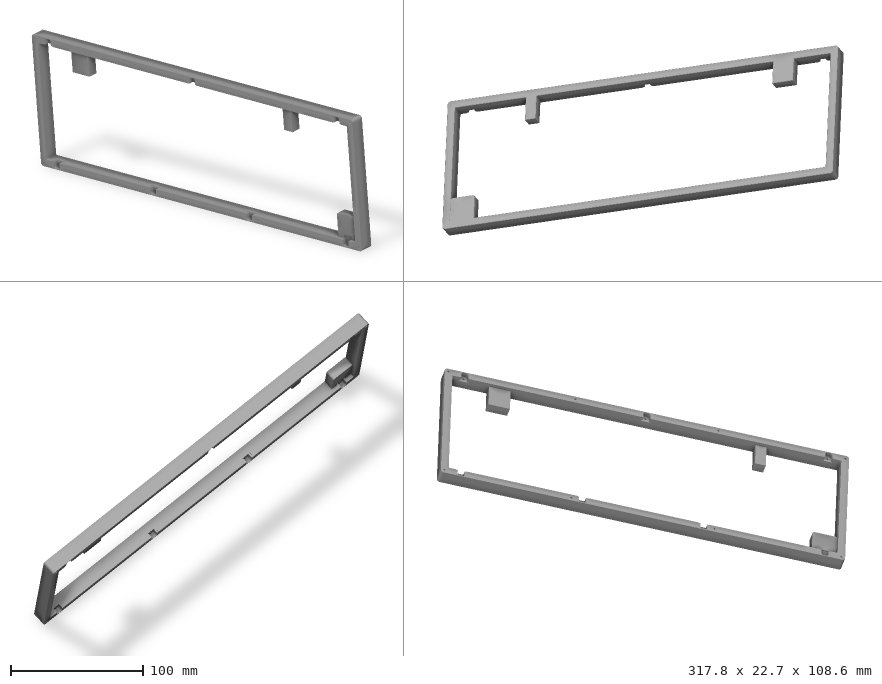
import cadquery as cq

length = 317.8
height = 108.0
depth = 11.5
bar = 6.0
corner_radius = 2.2
inner_corner_radius = 0.8
back_chamfer = 0.3
lean_angle = 6.0

wide_block_left, wide_block_right, wide_block_rise = 36.0, 52.7, 18.5
narrow_block_left, narrow_block_right, narrow_block_rise = 245.3, 254.0, 19.0
corner_block_left, corner_block_rise = 292.3, 19.5
corner_block_radius = 1.5
block_recess = 3.2
block_root = bar / 2

pocket_depth = 4.0
pocket_width = 5.5
pocket_wall = 0.5
pocket_corner_radius = 1.5
mouth_width = 8.3
mouth_overlap = 0.3
mouth_reach = 3.0
end_pocket_offset = 143.0
inner_pocket_offset = 47.7

hole_diameter = 1.62
hole_depth = 6.5
hole_inset = 3.0
inner_hole_offset = 56.2
pocket_hole_inset = 3.5

middle = length / 2
inner_right = length - bar


def box_between(x0, x1, y0, y1, z0, z1):
    """Box spanning the given limits."""
    size = (x1 - x0, y1 - y0, z1 - z0)
    return cq.Workplane("XY").box(*size, centered=False).translate((x0, y0, z0))


def upside_down(shape):
    """Mirror a shape from the bottom bar to the top bar."""
    return shape.mirror("XY", (0, 0, height / 2))


def bevel_back(shape):
    """Small bevel around the back face."""
    return shape.faces(">Y").edges().chamfer(back_chamfer)


def standing_block(left, right, rise):
    """Block rooted in the bottom bar and level with the back of the frame."""
    return box_between(left, right, block_recess, depth, bar - block_root, bar + rise)


def hole(x, z, start):
    """Blind round hole running back from the given depth."""
    return cq.Workplane("XZ", origin=(x, start, z)).circle(hole_diameter / 2).extrude(-hole_depth)


def screw_pocket(x):
    """Round-bottomed pocket in the bottom bar, with a wider mouth and a screw hole at its back."""
    mouth_top = bar + mouth_reach
    half_width = pocket_width / 2
    half_mouth = mouth_width / 2
    slot = box_between(x - half_width, x + half_width, 0, pocket_depth, pocket_wall, mouth_top)
    slot = slot.edges("|Y and <Z").fillet(pocket_corner_radius)
    mouth = box_between(x - half_mouth, x + half_mouth, 0, pocket_depth, bar - mouth_overlap, mouth_top)
    return slot.union(mouth).union(hole(x, pocket_hole_inset, pocket_depth))


outline = box_between(0, length, 0, depth, 0, height).edges("|Y").fillet(corner_radius)
opening = box_between(bar, inner_right, 0, depth, bar, height - bar).edges("|Y").fillet(inner_corner_radius)
frame = bevel_back(outline.cut(opening))

for left, right, rise in (
    (wide_block_left, wide_block_right, wide_block_rise),
    (narrow_block_left, narrow_block_right, narrow_block_rise),
):
    frame = frame.union(upside_down(bevel_back(standing_block(left, right, rise))))

corner_block = standing_block(corner_block_left, inner_right + back_chamfer, corner_block_rise)
frame = frame.union(bevel_back(corner_block.edges("|Y and >Z").fillet(corner_block_radius)))

for offset in (-end_pocket_offset, -inner_pocket_offset, inner_pocket_offset, end_pocket_offset):
    frame = frame.cut(screw_pocket(middle + offset))
for offset in (-end_pocket_offset, 0, end_pocket_offset):
    frame = frame.cut(upside_down(screw_pocket(middle + offset)))

for x in (hole_inset, middle - inner_hole_offset, middle + inner_hole_offset, length - hole_inset):
    for z in (hole_inset, height - hole_inset):
        frame = frame.cut(hole(x, z, 0))

result = frame.rotate((0, 0, 0), (1, 0, 0), lean_angle)